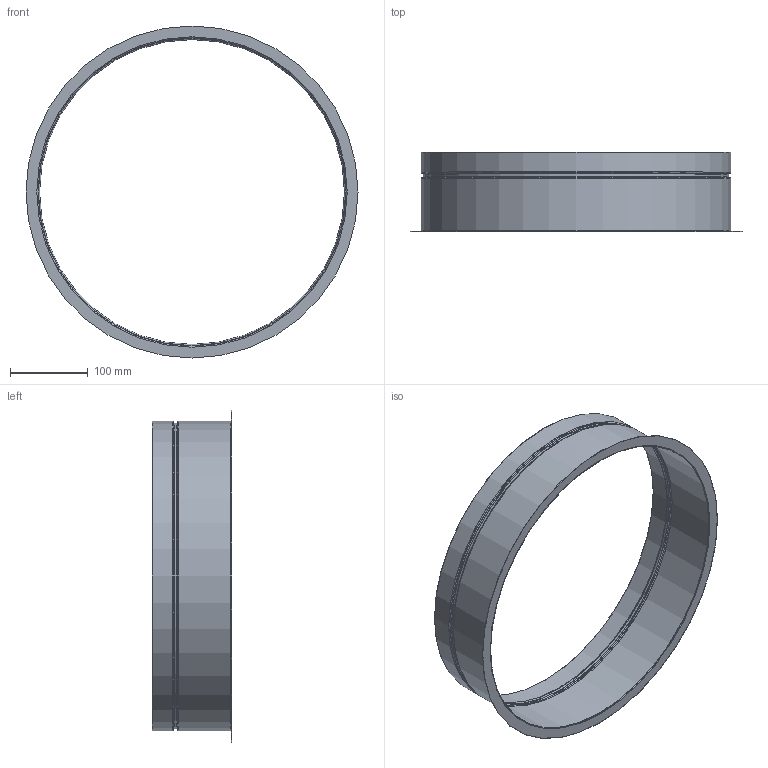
import cadquery as cq
import math

sheet = 0.5
tube_radius = 199.8
flange_radius = 214.2
flange_bend = 0.5
length = 102.5
bead_from_end = 30.0
bead_depth = 2.6
bead_floor = 3.5
bead_wall_run = 2.6

bore_radius = tube_radius - sheet
bead_center = length - bead_from_end
floor_half = bead_floor / 2
bead_half = floor_half + bead_wall_run

wall_angle = 2 * math.atan(bead_depth / bead_wall_run)
bend_sum = bead_wall_run / math.sin(wall_angle)
tight_bend = (bend_sum - sheet) / 2
wide_bend = tight_bend + sheet


def arc_drop(radius, angle):
    """Distance an arc falls away from its tangent line after the given angle."""
    return radius * (1 - math.cos(angle))


def add_bead(profile, surface_radius, shoulder_bend, root_bend, direction):
    """Append the bead to one surface of the sheet, moving along +Y or -Y."""
    floor_radius = surface_radius - bead_depth

    def shoulder_point(angle, side):
        offset = bead_half - shoulder_bend * math.sin(angle)
        return (surface_radius - arc_drop(shoulder_bend, angle), bead_center + side * offset)

    def root_point(angle, side):
        offset = floor_half + root_bend * math.sin(angle)
        return (floor_radius + arc_drop(root_bend, angle), bead_center + side * offset)

    entry = -direction
    leave = direction
    half_angle = wall_angle / 2
    return (
        profile.lineTo(*shoulder_point(0, entry))
        .threePointArc(shoulder_point(half_angle, entry), shoulder_point(wall_angle, entry))
        .threePointArc(root_point(half_angle, entry), root_point(0, entry))
        .lineTo(*root_point(0, leave))
        .threePointArc(root_point(half_angle, leave), root_point(wall_angle, leave))
        .threePointArc(shoulder_point(half_angle, leave), shoulder_point(0, leave))
    )


def sheet_profile():
    """Half section of the duct in the XY plane: flange, bend, tube and bead."""
    bend_x = tube_radius + flange_bend
    bend_y = sheet + flange_bend

    def bend_middle(radius):
        reach = radius * math.sqrt(0.5)
        return (bend_x - reach, bend_y - reach)

    profile = (
        cq.Workplane("XY")
        .moveTo(flange_radius, 0)
        .lineTo(flange_radius, sheet)
        .lineTo(bend_x, sheet)
        .threePointArc(bend_middle(flange_bend), (tube_radius, bend_y))
    )
    profile = add_bead(profile, tube_radius, wide_bend, tight_bend, 1)
    profile = profile.lineTo(tube_radius, length).lineTo(bore_radius, length)
    profile = add_bead(profile, bore_radius, tight_bend, wide_bend, -1)
    return (
        profile.lineTo(bore_radius, bend_y)
        .threePointArc(bend_middle(flange_bend + sheet), (bend_x, 0))
        .close()
    )


result = sheet_profile().revolve(360, (0, 0, 0), (0, 1, 0))